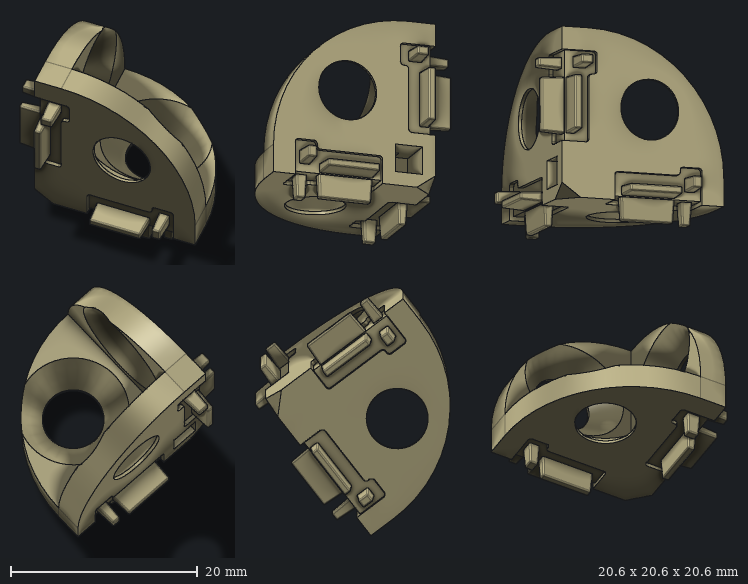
import cadquery as cq


overall_size = 20.6
pin_reach = 2.05
wall_side = overall_size - pin_reach
wall_thickness = 3.1
wall_arc_radius = wall_side - wall_thickness

hole_place = 10.05
hole_radius = 3.3
sink_radius = 6.02

passage_start = 1.5
passage_side = 3.1

corner_cut_side = 2.12
corner_cut_height = 1.5

recess_depth = 0.47
recess_start = 6.08
recess_step = 13.53
recess_end = 16.03
recess_width = 3.1
recess_tab_width = 4.02
recess_corner_radius = 0.4

pin_height = recess_depth + pin_reach
pin_taper = 3.0
pin_rounding = 0.16
blade_size = (6.12, 1.05)
blade_center = (10.05, 1.13)
peg_size = (1.22, 1.52)
peg_center = (14.8, 2.16)


def on_three_walls(shape):
    """Repeat a shape of the Y = 0 wall on all three walls."""
    turns = [shape.rotate((0, 0, 0), (1, 1, 1), angle) for angle in (120, 240)]
    return shape.union(turns[0]).union(turns[1])


def on_six_edges(shape):
    """Repeat a shape beside the X edge of the Y = 0 wall at both corner edges of every wall."""
    return on_three_walls(shape.union(shape.mirror((1, 0, -1))))


def wall():
    """Y = 0 wall: a square corner closed by a quarter arc."""
    return (
        cq.Workplane("XZ")
        .lineTo(wall_side, 0)
        .lineTo(wall_side, wall_thickness)
        .radiusArc((wall_thickness, wall_side), -wall_arc_radius)
        .lineTo(0, wall_side)
        .close()
        .extrude(-wall_thickness)
    )


def screw_hole():
    """Through hole and 45-degree countersink of the Y = 0 wall, turned about the hole axis."""
    sink_start = wall_thickness - (sink_radius - hole_radius)
    return (
        cq.Workplane("XY")
        .lineTo(hole_radius, 0)
        .lineTo(hole_radius, sink_start)
        .lineTo(sink_radius, wall_thickness)
        .lineTo(0, wall_thickness)
        .close()
        .revolve(360, (0, 0, 0), (0, 1, 0))
        .translate((hole_place, 0, hole_place))
    )


def square_passage():
    """Square passage from the X = 0 face into the open inside of the bracket."""
    passage_end = passage_start + passage_side
    return (
        cq.Workplane("XY")
        .box(passage_end, passage_side, passage_side, centered=False)
        .translate((0, passage_start, passage_start))
    )


def corner_cut():
    """Tetrahedron that slopes off the outer corner."""
    corner = cq.Vector(0, 0, 0)
    tips = [
        cq.Vector(corner_cut_side, 0, 0),
        cq.Vector(0, corner_cut_side, 0),
        cq.Vector(0, 0, corner_cut_height),
    ]
    triangles = [tips] + [[corner, tips[i], tips[(i + 1) % 3]] for i in range(3)]
    faces = [cq.Face.makeFromWires(cq.Wire.makePolygon(points, close=True)) for points in triangles]
    return cq.Workplane(cq.Solid.makeSolid(cq.Shell.makeShell(faces)))


def recess():
    """Stepped recess along the X edge; the corners away from that edge are rounded."""
    return (
        cq.Workplane("XZ")
        .moveTo(recess_start, 0)
        .lineTo(recess_end, 0)
        .lineTo(recess_end, recess_tab_width)
        .lineTo(recess_step, recess_tab_width)
        .lineTo(recess_step, recess_width)
        .lineTo(recess_start, recess_width)
        .close()
        .extrude(-recess_depth)
        .edges("|Y")
        .edges("not(<Z)")
        .fillet(recess_corner_radius)
    )


def pin(center, size):
    """Tapered pin on the recess floor, rounded everywhere except at its root."""
    return (
        cq.Workplane("XZ", origin=(0, recess_depth, 0))
        .center(*center)
        .rect(*size)
        .extrude(pin_height, taper=pin_taper)
        .edges("not(>Y)")
        .fillet(pin_rounding)
    )


body = on_three_walls(wall())
body = body.cut(on_three_walls(screw_hole()))
body = body.cut(square_passage())
body = body.cut(corner_cut())
body = body.cut(on_six_edges(recess()))
for center, size in ((blade_center, blade_size), (peg_center, peg_size)):
    body = body.union(on_six_edges(pin(center, size)))

result = body